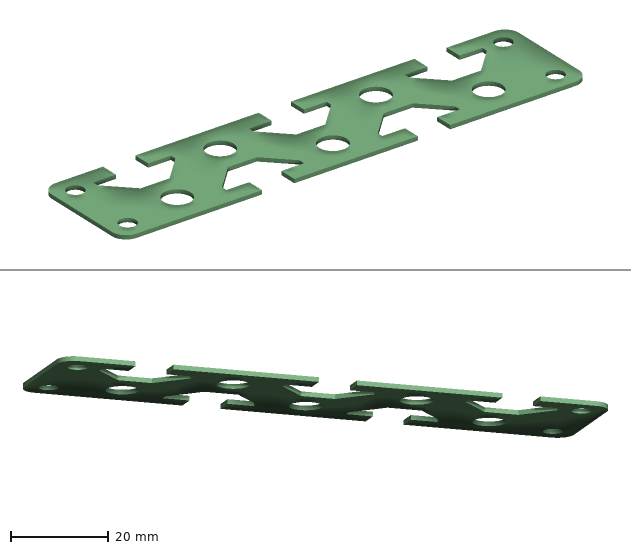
import cadquery as cq

length = 120.0
width = 28.0
thickness = 1.0
corner_radius = 3.6

pitch = length / 6
rows = range(-2, 3)

mouth_width = 8.3
lip_depth = 4.5
slot_depth = 12.4
inner_width = 19.9
floor_width = 7.5
shoulder_depth = 6.0

large_hole_diameter = 7.0
large_hole_x = 6.0
corner_hole_diameter = 4.2
corner_hole_spacing_x = 18.0
corner_hole_end_distance = 5.0


def t_slot(side, center_y):
    """Cutter for a tapered T-slot open at the edge on the given side (-1 or +1)."""
    depth_and_half_width = [
        (0, mouth_width / 2),
        (lip_depth, mouth_width / 2),
        (lip_depth, inner_width / 2),
        (shoulder_depth, inner_width / 2),
        (slot_depth, floor_width / 2),
    ]
    upper = [
        (side * (width / 2 - depth), center_y + half_width)
        for depth, half_width in depth_and_half_width
    ]
    lower = [(x, 2 * center_y - y) for x, y in reversed(upper)]
    return cq.Workplane("XY").polyline(upper + lower).close().extrude(thickness)


def round_holes(centers, diameter):
    """Cutter for through holes at the given centers."""
    return cq.Workplane("XY").pushPoints(centers).circle(diameter / 2).extrude(thickness)


result = cq.Workplane("XY").box(length=width, width=length, height=thickness, centered=(True, True, False))
result = result.edges("|Z").fillet(corner_radius)

for row in rows:
    slot_side = -1 if row % 2 == 0 else 1
    row_y = row * pitch
    result = result.cut(t_slot(slot_side, row_y))
    result = result.cut(round_holes([(-slot_side * large_hole_x, row_y)], large_hole_diameter))

corner_hole_x = corner_hole_spacing_x / 2
corner_hole_y = length / 2 - corner_hole_end_distance
corner_centers = [(sx * corner_hole_x, sy * corner_hole_y) for sx in (-1, 1) for sy in (-1, 1)]
result = result.cut(round_holes(corner_centers, corner_hole_diameter))